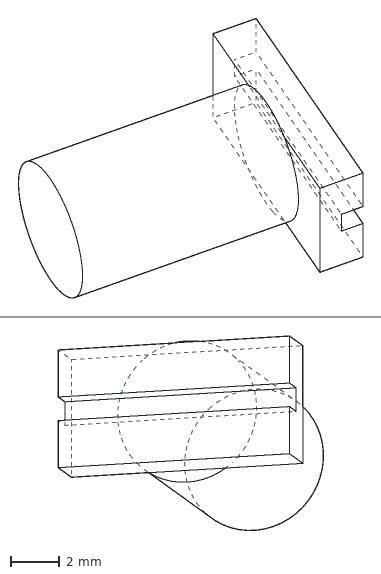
import cadquery as cq

total_length = 12.0
shaft_diameter = total_length / 2

head_thickness = total_length / 6
head_width = 5 * head_thickness
head_height = head_width / 2

slot_width = head_thickness / 2
slot_depth = head_thickness / 2

shaft_length = total_length - head_thickness


def make_shaft():
    """Round shaft pointing along -Y from the front face of the head."""
    return cq.Workplane("XZ").circle(shaft_diameter / 2).extrude(shaft_length)


def make_head():
    """Rectangular head whose front face lies on Y = 0."""
    return cq.Workplane("XZ").rect(head_width, head_height).extrude(-head_thickness)


def make_slot():
    """Full-width slot, open at the back face of the head."""
    slot = cq.Workplane("XY").box(head_width, slot_depth, slot_width)
    return slot.translate((0, head_thickness - slot_depth / 2, 0))


result = make_head().cut(make_slot()).union(make_shaft())